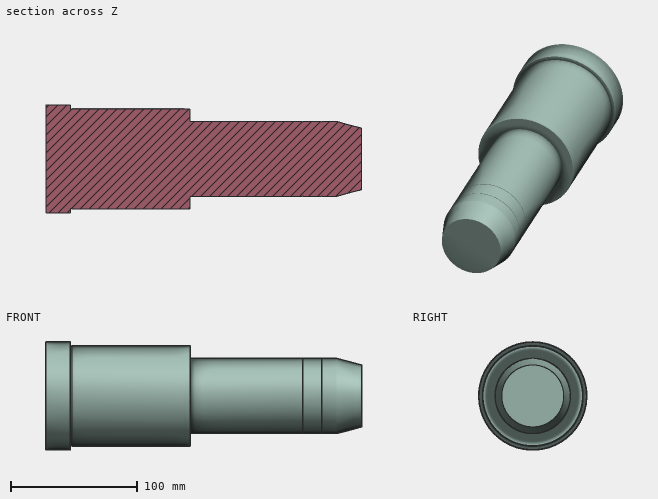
import cadquery as cq
import math

length = 251.0
head_diameter = 86.0
head_length = 19.8
head_chamfer = 0.5
body_diameter = 80.0
body_end = 115.0
body_chamfer = 0.5
pin_diameter = 60.0

neck_length = 1.0
neck_depth = 0.5

lead_length = 5.0
lead_reduction = 0.05

nose_length = 20.0
nose_angle = 15.0

groove_starts = (203.8, 218.9)
groove_width = 0.5
groove_depth = 0.5

head_radius = head_diameter / 2
body_radius = body_diameter / 2
pin_radius = pin_diameter / 2
neck_radius = body_radius - neck_depth
lead_radius = body_radius - lead_reduction
nose_start = length - nose_length
nose_tip_radius = pin_radius - nose_length * math.tan(math.radians(nose_angle))


def stepped_pin():
    """Head, neck, body, pin and nose revolved from one half profile."""
    profile = [
        (0, 0),
        (0, head_radius - head_chamfer),
        (head_chamfer, head_radius),
        (head_length - head_chamfer, head_radius),
        (head_length, head_radius - head_chamfer),
        (head_length, neck_radius),
        (head_length + neck_length, neck_radius),
        (head_length + neck_length, body_radius),
        (body_end - lead_length, body_radius),
        (body_end - body_chamfer, lead_radius),
        (body_end, lead_radius - body_chamfer),
        (body_end, pin_radius),
        (nose_start, pin_radius),
        (length, nose_tip_radius),
        (length, 0),
    ]
    return cq.Workplane("XZ").polyline(profile).close().revolve(360, (0, 0, 0), (1, 0, 0))


def groove_ring(start):
    """Ring of material removed from the pin surface by one groove."""
    ring = cq.Workplane("YZ", origin=(start, 0, 0))
    return ring.circle(pin_radius).circle(pin_radius - groove_depth).extrude(groove_width)


result = stepped_pin()
for groove_start in groove_starts:
    result = result.cut(groove_ring(groove_start))